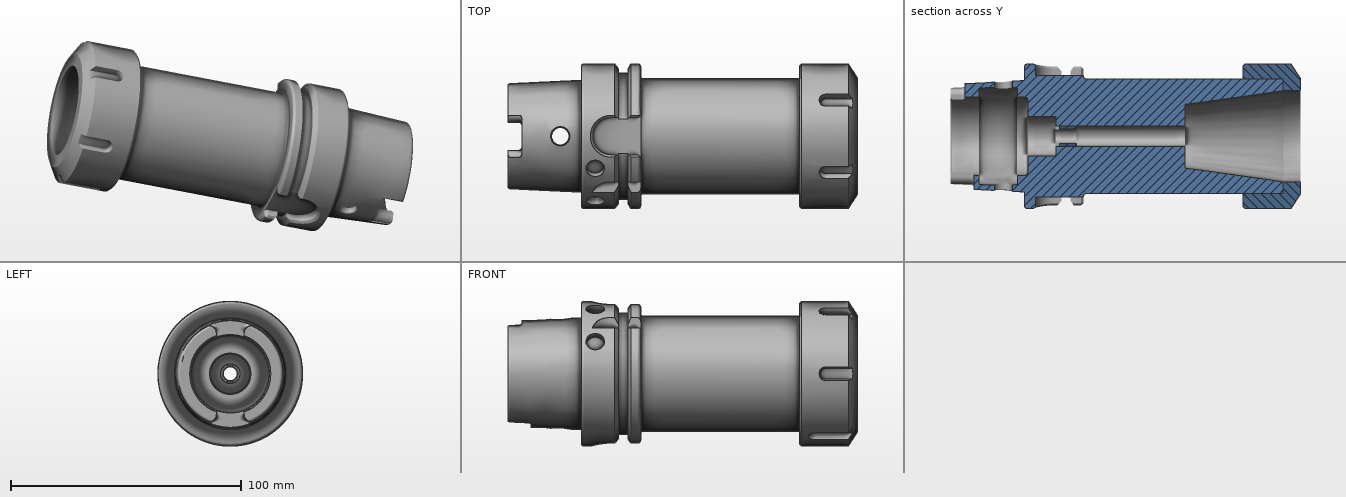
import cadquery as cq
import math


length = 152.0
flange_start = 31.9
flange_end = 57.8
nut_start = 126.8
nut_cone_start = 147.9
nose_end = 144.4

taper_tip_radius = 22.8
taper_base_radius = 24.3
taper_tip_fillet = 1.2

flange_radius = 31.5
flange_back_fillet = 1.2
flange_front_fillet = 1.4
groove_start = 48.2
groove_end = 52.1
groove_radius = 27.5
groove_flank_depth = 2.3
groove_back_flank = 1.8
groove_front_flank = 1.4

body_radius = 25.1
body_fillet = 0.9

mouth_radius = 17.0
mouth_chamfer = 0.6
mouth_end = 12.5
recess_radius = 21.0
recess_end = 28.9
socket_face = 33.5
socket_face_fillet = 1.5
socket_radius = 8.5
socket_chamfer = 0.5
socket_floor = 45.6
collet_seat_radius = 19.8
collet_seat_depth = 42.5
collet_seat_angle = 8.0

drive_slot_half_width = 6.1
drive_slot_edge_radius = 3.0
drive_slot_edge_height = 20.8
upper_drive_slot_depth = 6.1
lower_drive_slot_depth = 10.0
drive_slot_floor_fillet = 1.2

cross_hole_x = 22.8
cross_hole_radius = 3.8
cross_hole_chamfer = 0.38

cutter_radius = 8.0
keyway_center_x = 45.0
keyway_floor = 26.5
keyway_chamfer = 1.0
notch_center_x = 44.0
notch_offset = 19.9
pocket_x = 38.0
pocket_radius = 4.0
pocket_depth = 3.8
pocket_spread = 37.0
notch_angle = 45.0

nut_radius = 31.5
nut_face_radius = 25.1
nut_back_chamfer = 0.9
nut_opening_radius = collet_seat_radius
nut_slot_count = 6
nut_slot_radius = 3.0
nut_slot_start = 135.3
nut_slot_draft = 13.0
nut_slot_floor = 28.5
long_slot_index = 1
long_slot_extra = 4.7

screw_radius = 4.3
screw_length = 9.1
screw_bore_radius = 3.0
screw_slot_width = 2.3
screw_slot_depth = 1.5

clear = 1.5
reach = 0.2


def revolve_x(workplane):
    """Turn a closed XY profile about the X axis."""
    return workplane.close().revolve(360, (0, 0, 0), (1, 0, 0))


def fillet_circle(solid, x, radius, fillet):
    """Round the largest circular edge at x that is no bigger than the given radius."""
    inside = cq.selectors.BoxSelector(
        (x - reach, -radius - reach, -radius - reach),
        (x + reach, radius + reach, radius + reach),
        boundingbox=True,
    )
    return solid.edges(inside).edges(cq.selectors.RadiusNthSelector(-1)).fillet(fillet)


def holder_outside():
    profile = (
        cq.Workplane("XY")
        .lineTo(0, taper_tip_radius)
        .lineTo(flange_start, taper_base_radius)
        .lineTo(flange_start, flange_radius)
        .lineTo(groove_start - groove_back_flank, flange_radius)
        .lineTo(groove_start, flange_radius - groove_flank_depth)
        .lineTo(groove_start, groove_radius)
        .lineTo(groove_end, groove_radius)
        .lineTo(groove_end, flange_radius - groove_flank_depth)
        .lineTo(groove_end + groove_front_flank, flange_radius)
        .lineTo(flange_end, flange_radius)
        .lineTo(flange_end, body_radius)
        .lineTo(nose_end, body_radius)
        .lineTo(nose_end, 0)
    )
    solid = revolve_x(profile)
    fillets = (
        (0, taper_tip_radius, taper_tip_fillet),
        (flange_end, body_radius, body_fillet),
        (flange_end, flange_radius, flange_front_fillet),
        (flange_start, flange_radius, flange_back_fillet),
    )
    for x, radius, fillet in fillets:
        solid = fillet_circle(solid, x, radius, fillet)
    return solid


def holder_bore():
    """Mouth, undercut recess, stepped socket, screw thread bore and conical collet seat."""
    seat_start = nose_end - collet_seat_depth
    seat_bottom_radius = collet_seat_radius - collet_seat_depth * math.tan(math.radians(collet_seat_angle))
    profile = (
        cq.Workplane("XY")
        .lineTo(0, mouth_radius + mouth_chamfer)
        .lineTo(mouth_chamfer, mouth_radius)
        .lineTo(mouth_end, mouth_radius)
        .lineTo(mouth_end, recess_radius)
        .lineTo(recess_end, recess_radius)
        .lineTo(recess_end, mouth_radius)
        .lineTo(socket_face - socket_face_fillet, mouth_radius)
        .tangentArcPoint((socket_face_fillet, -socket_face_fillet))
        .lineTo(socket_face, socket_radius + socket_chamfer)
        .lineTo(socket_face + socket_chamfer, socket_radius)
        .lineTo(socket_floor, socket_radius)
        .lineTo(socket_floor, screw_radius)
        .lineTo(seat_start, screw_radius)
        .lineTo(seat_start, seat_bottom_radius)
        .lineTo(nose_end, collet_seat_radius)
        .lineTo(nose_end, 0)
    )
    return revolve_x(profile)


def drive_slot(side):
    """Cutter for the slot at the +Z (side 1) or -Z (side -1) edge of the shank tip."""
    depth = upper_drive_slot_depth if side > 0 else lower_drive_slot_depth
    arc_start = drive_slot_edge_height - drive_slot_edge_radius
    arc_mid_shift = drive_slot_edge_radius * math.sqrt(0.5)
    outer = drive_slot_half_width + drive_slot_edge_radius
    top = taper_base_radius + clear
    mid = (outer - arc_mid_shift, arc_start + arc_mid_shift)
    cutter = (
        cq.Workplane("YZ", origin=(-clear, 0, 0))
        .moveTo(-drive_slot_half_width, 0)
        .lineTo(drive_slot_half_width, 0)
        .lineTo(drive_slot_half_width, arc_start)
        .threePointArc(mid, (outer, drive_slot_edge_height))
        .lineTo(outer, top)
        .lineTo(-outer, top)
        .lineTo(-outer, drive_slot_edge_height)
        .threePointArc((-mid[0], mid[1]), (-drive_slot_half_width, arc_start))
        .close()
        .extrude(depth + clear)
    )
    cutter = cutter.faces(">X").edges("not(<Z or >Z)").fillet(drive_slot_floor_fillet)
    return cutter if side > 0 else cutter.rotate((0, 0, 0), (1, 0, 0), 180)


def cut_cross_hole(solid):
    """Hole through both walls of the shank, with bevelled outer rims."""
    hole = (
        cq.Workplane("XY", origin=(cross_hole_x, 0, -flange_radius))
        .circle(cross_hole_radius)
        .extrude(2 * flange_radius)
    )
    solid = solid.cut(hole)
    half_box = cross_hole_radius + reach
    for bottom, top in ((recess_radius, flange_radius), (-flange_radius, -recess_radius)):
        rim = cq.selectors.BoxSelector(
            (cross_hole_x - half_box, -half_box, bottom),
            (cross_hole_x + half_box, half_box, top),
            boundingbox=True,
        )
        solid = solid.edges(rim).chamfer(cross_hole_chamfer)
    return solid


def round_ended_slot(center_x, base_z, height):
    """Upright cutter with a half-round -X end, running out past the flange in +X."""
    run_out = flange_end + clear - center_x
    return (
        cq.Workplane("XY", origin=(center_x, 0, base_z))
        .moveTo(0, -cutter_radius)
        .lineTo(run_out, -cutter_radius)
        .lineTo(run_out, cutter_radius)
        .lineTo(0, cutter_radius)
        .threePointArc((-cutter_radius, 0), (0, -cutter_radius))
        .close()
        .extrude(height)
    )


def cut_keyway(solid):
    """Cut the +Z keyway: flat floor, half-round end and bevelled upper edges."""
    slot = round_ended_slot(keyway_center_x, keyway_floor, flange_radius + clear - keyway_floor)
    solid = solid.cut(slot)
    half_box = cutter_radius + reach
    upper_edges = cq.selectors.BoxSelector(
        (flange_start, -half_box, flange_radius - groove_flank_depth - 2 * reach),
        (flange_end + reach, half_box, flange_radius + reach),
        boundingbox=True,
    )
    return solid.edges(upper_edges).chamfer(keyway_chamfer)


def corner_notch():
    """Cutter for the square-cornered notch in the -Y +Z quarter of the flange."""
    cutter = round_ended_slot(notch_center_x, notch_offset, flange_radius)
    return cutter.translate((0, -notch_offset - cutter_radius, 0))


def flange_pocket(angle):
    """Cutter for a round blind pocket; the angle turns from -Y towards +Z."""
    cutter = (
        cq.Workplane("XZ", origin=(pocket_x, -(flange_radius - pocket_depth), 0))
        .circle(pocket_radius)
        .extrude(pocket_depth + clear)
    )
    return cutter.rotate((0, 0, 0), (1, 0, 0), -angle)


def make_holder():
    solid = holder_outside()
    for _ in range(2):
        solid = cut_keyway(solid).rotate((0, 0, 0), (1, 0, 0), 180)
    solid = cut_cross_hole(solid.cut(holder_bore()))
    for side in (1, -1):
        solid = solid.cut(drive_slot(side))
    solid = solid.cut(corner_notch())
    for offset in (-pocket_spread / 2, pocket_spread / 2):
        solid = solid.cut(flange_pocket(notch_angle + offset))
    return solid


def nut_slot(start):
    """Cutter for a round-ended wrench slot on the -Y side, open at the front, with drafted walls."""
    center_x = start + nut_slot_radius
    slope = math.tan(math.radians(nut_slot_draft))
    floor_half_width = nut_slot_radius - (nut_radius - nut_slot_floor) * slope
    return (
        cq.Workplane("XZ", origin=(0, -nut_slot_floor, 0))
        .moveTo(center_x, floor_half_width)
        .threePointArc((center_x - floor_half_width, 0), (center_x, -floor_half_width))
        .lineTo(length + clear, -floor_half_width)
        .lineTo(length + clear, floor_half_width)
        .close()
        .extrude(nut_radius - nut_slot_floor + clear, taper=-nut_slot_draft)
    )


def make_nut():
    profile = (
        cq.Workplane("XY")
        .moveTo(nut_start, body_radius)
        .lineTo(nut_start, nut_radius - nut_back_chamfer)
        .lineTo(nut_start + nut_back_chamfer, nut_radius)
        .lineTo(nut_cone_start, nut_radius)
        .lineTo(length, nut_face_radius)
        .lineTo(length, nut_opening_radius)
        .lineTo(nose_end, nut_opening_radius)
        .lineTo(nose_end, body_radius)
    )
    solid = revolve_x(profile)
    for index in range(nut_slot_count):
        start = nut_slot_start
        if index == long_slot_index:
            start -= long_slot_extra
        turn = index * 360 / nut_slot_count
        solid = solid.cut(nut_slot(start).rotate((0, 0, 0), (1, 0, 0), turn))
    return solid


def make_screw():
    """Hollow stop screw with a screwdriver slot across its -X end."""
    solid = (
        cq.Workplane("YZ", origin=(socket_floor, 0, 0))
        .circle(screw_radius)
        .circle(screw_bore_radius)
        .extrude(screw_length)
    )
    slot = cq.Workplane("XY", origin=(socket_floor, 0, 0)).box(
        2 * screw_slot_depth, screw_slot_width, 2 * (screw_radius + clear))
    return solid.cut(slot)


holder = make_holder()
nut = make_nut()
screw = make_screw()

result = cq.Compound.makeCompound([holder.val(), nut.val(), screw.val()])